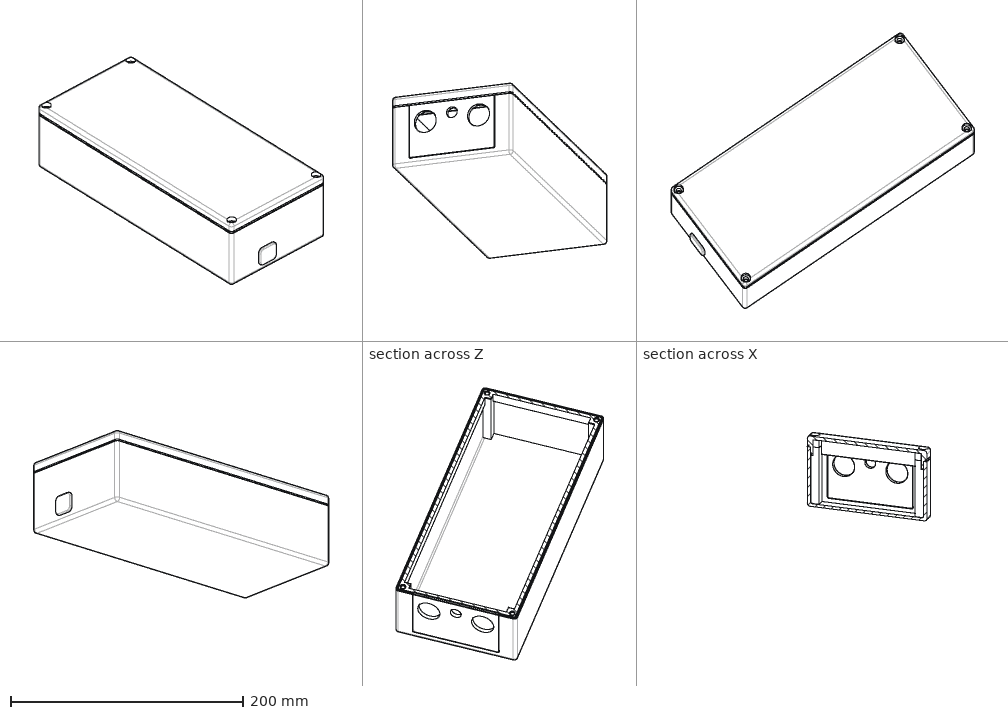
import cadquery as cq

length = 245.0
width = 110.0
height = 65.0
wall = 3.5
floor_thickness = 3.0
outer_radius = 3.0
floor_radius = 1.5
seam_z = 55.0

tongue_inset = 0.7
tongue_thickness = 1.5
tongue_height = 1.5

skirt_depth = 8.0
skirt_thickness = 2.0
skirt_lead_height = 1.9
skirt_lead_width = 0.7

post_size = 11.0
post_embed = wall / 2
screw_inset = 5.5
head_diameter = 8.0
head_depth = 4.0
clearance_diameter = 4.5
pilot_diameter = 3.33
pilot_depth = 15.0

opening_width = 78.6
opening_bottom = 6.6
panel_gap = 0.6
opening_corner_radius = 1.6
large_hole_diameter = 20.0
large_hole_offset = 24.35
large_hole_z = 38.5
small_hole_diameter = 9.71
small_hole_z = 44.0

plug_width = 19.6
plug_height = 17.7
plug_thickness = 2.0
plug_corner_radius = 4.2
plug_edge_radius = 1.0
plug_y = -13.2
plug_z = 15.2

inner_length = length - 2 * wall
inner_width = width - 2 * wall
centre_x = length / 2


def block(inset, bottom, top):
    """Upright block whose sides lie a given inset inside the outer faces."""
    return (
        cq.Workplane("XY", origin=(centre_x, 0, bottom))
        .rect(length - 2 * inset, width - 2 * inset)
        .extrude(top - bottom)
    )


def outer_body(bottom, top):
    """Slice of the rounded outer box between two heights."""
    rounded_box = block(0, 0, height).edges().fillet(outer_radius)
    return rounded_box.intersect(block(0, bottom, top))


def tongue_ring():
    """Rectangular ring that stands on the seam."""
    top = seam_z + tongue_height
    ring = block(tongue_inset, seam_z, top).edges("|Z").fillet(outer_radius - tongue_inset)
    return ring.cut(block(tongue_inset + tongue_thickness, seam_z, top))


def corner_posts(bottom, top):
    """Square posts in the four corners, inside the outer walls."""
    posts = (
        cq.Workplane("XY", origin=(centre_x, 0, bottom))
        .rect(length - post_size, width - post_size, forConstruction=True)
        .vertices()
        .rect(post_size, post_size)
        .extrude(top - bottom)
    )
    return posts.intersect(block(post_embed, bottom, top))


def screw_cylinders(diameter, bottom, top):
    """One cylinder on each of the four screw axes."""
    return (
        cq.Workplane("XY", origin=(centre_x, 0, bottom))
        .rect(length - 2 * screw_inset, width - 2 * screw_inset, forConstruction=True)
        .vertices()
        .circle(diameter / 2)
        .extrude(top - bottom)
    )


def panel_outline(half_width, bottom, corner_radius):
    """Plate in the left wall, up to the seam, with rounded lower corners."""
    plate = (
        cq.Workplane("XY", origin=(0, 0, bottom))
        .box(wall, 2 * half_width, seam_z - bottom, centered=(False, True, False))
    )
    return plate.edges("|X and <Z").fillet(corner_radius)


def make_base():
    """Open box with corner posts, rim tongue and an opening for the panel."""
    cavity = block(wall, floor_thickness, seam_z).faces("<Z").edges("|X").fillet(floor_radius)
    base = outer_body(0, seam_z).cut(cavity)
    base = base.union(tongue_ring()).union(corner_posts(post_embed, seam_z))
    base = base.cut(screw_cylinders(pilot_diameter, seam_z - pilot_depth, seam_z))
    opening = panel_outline(opening_width / 2, opening_bottom, opening_corner_radius)
    tongue_gap = (
        cq.Workplane("XY", origin=(0, 0, seam_z))
        .box(wall, opening_width, tongue_height, centered=(False, True, False))
    )
    return base.cut(opening).cut(tongue_gap)


def make_skirt():
    """Ring that hangs from the lid inside the base, interrupted at the corner posts."""
    tip_z = seam_z - skirt_depth
    lead_top = tip_z + skirt_lead_height
    lead = (
        cq.Workplane("XY", origin=(centre_x, 0, tip_z))
        .rect(inner_length - 2 * skirt_lead_width, inner_width - 2 * skirt_lead_width)
        .workplane(offset=skirt_lead_height)
        .rect(inner_length, inner_width)
        .loft(ruled=True)
    )
    skirt = block(wall, lead_top, height - wall).union(lead)
    skirt = skirt.cut(block(wall + skirt_thickness, tip_z, height))
    return skirt.cut(corner_posts(tip_z, seam_z))


def make_lid():
    """Hollow lid with a skirt, a groove for the rim tongue and counterbored screw holes."""
    lid = outer_body(seam_z, height).cut(block(wall, seam_z, height - wall))
    lid = lid.union(corner_posts(seam_z, height - post_embed)).union(make_skirt())
    lid = lid.cut(tongue_ring())
    lid = lid.cut(screw_cylinders(clearance_diameter, seam_z, height))
    return lid.cut(screw_cylinders(head_diameter, height - head_depth, height))


def make_panel():
    """Plate in the left wall with two large holes and a small one between them."""
    panel = panel_outline(
        opening_width / 2 - panel_gap,
        opening_bottom + panel_gap,
        opening_corner_radius - panel_gap,
    )
    for y, z, diameter in (
        (-large_hole_offset, large_hole_z, large_hole_diameter),
        (0, small_hole_z, small_hole_diameter),
        (large_hole_offset, large_hole_z, large_hole_diameter),
    ):
        hole = cq.Workplane("YZ").center(y, z).circle(diameter / 2).extrude(wall)
        panel = panel.cut(hole)
    return panel


def make_plug():
    """Raised pad with rounded corners and a rounded outer edge."""
    plug = (
        cq.Workplane("YZ", origin=(length, plug_y, plug_z))
        .rect(plug_width, plug_height)
        .extrude(plug_thickness)
        .edges("|X")
        .fillet(plug_corner_radius)
    )
    return plug.faces(">X").edges().fillet(plug_edge_radius)


base = make_base()
lid = make_lid()
panel = make_panel()
plug = make_plug()
result = cq.Compound.makeCompound([base.val(), lid.val(), panel.val(), plug.val()])